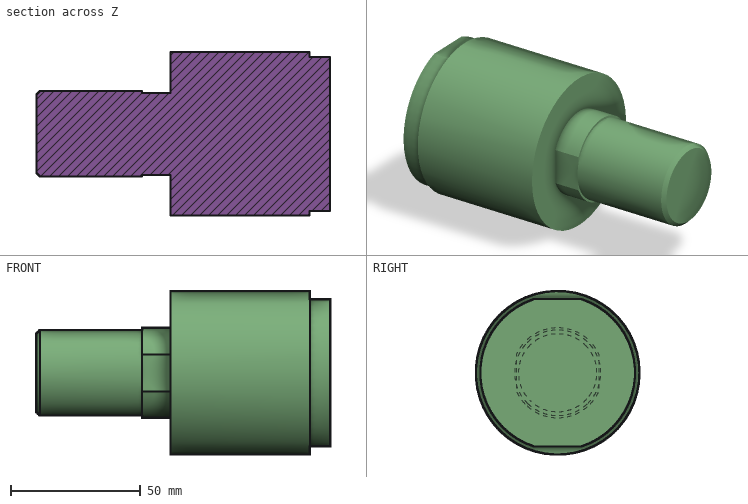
import cadquery as cq

total_length = 114.0
shank_end = 41.0
collar_end = 52.0
body_end = 106.0

shank_diameter = 33.3
tip_chamfer = 1.5
collar_diameter = 35.0
collar_across_flats = 31.9
body_diameter = 63.5
cap_diameter = 60.0
cap_across_flats = 57.0


def cylinder(start, end, diameter):
    """Cylinder along X, between two positions on the axis."""
    return cq.Workplane("YZ", origin=(start, 0, 0)).circle(diameter / 2).extrude(end - start)


def flat_slab(start, end, width_y, width_z):
    """Box centred on the X axis, used to trim flats on a cylinder."""
    return cq.Workplane("YZ", origin=(start, 0, 0)).rect(width_y, width_z).extrude(end - start)


shank = cylinder(0, shank_end, shank_diameter).faces("<X").chamfer(tip_chamfer)

collar = cylinder(shank_end, collar_end, collar_diameter).intersect(
    flat_slab(shank_end, collar_end, collar_across_flats, collar_diameter)
)

body = cylinder(collar_end, body_end, body_diameter)

cap = cylinder(body_end, total_length, cap_diameter).intersect(
    flat_slab(body_end, total_length, cap_diameter, cap_across_flats)
)

result = shank.union(collar).union(body).union(cap)